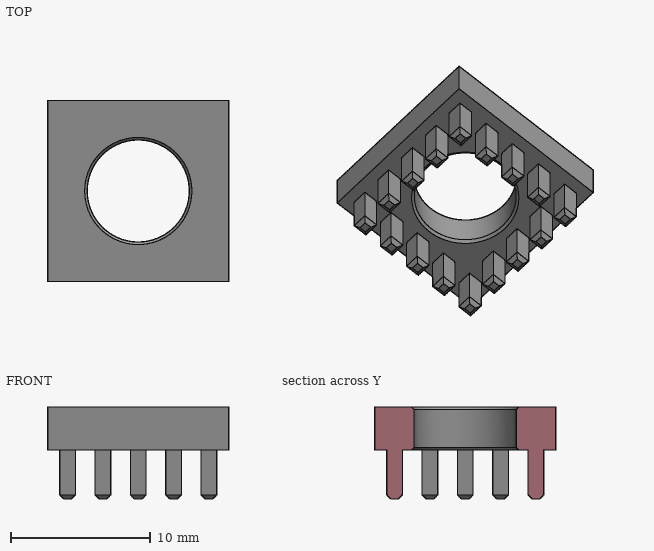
import cadquery as cq

body_side = 13
total_height = 6.6
body_height = 3.1

hole_diameter = 7.3
hole_chamfer = 0.2

pins_per_side = 5
pin_pitch = 2.54
pin_width = 1.15
pin_tip_chamfer = 0.3
pin_length = total_height - body_height


def make_body():
    """Square plate resting on Z = 0, with a hole chamfered at both rims."""
    plate = cq.Workplane("XY").box(body_side, body_side, body_height, centered=(True, True, False))
    bored = plate.faces(">Z").workplane().hole(hole_diameter)
    return bored.faces("|Z").edges("%CIRCLE").chamfer(hole_chamfer)


def ring_positions():
    """Pin centres on the border of a square grid."""
    last = pins_per_side - 1
    border = (0, last)
    return [
        ((column - last / 2) * pin_pitch, (row - last / 2) * pin_pitch)
        for column in range(pins_per_side)
        for row in range(pins_per_side)
        if column in border or row in border
    ]


def make_pins():
    """Square pins hanging below the body, with chamfered tips."""
    pins = cq.Workplane("XY").pushPoints(ring_positions()).rect(pin_width, pin_width).extrude(-pin_length)
    return pins.faces("<Z").edges().chamfer(pin_tip_chamfer)


result = make_body().union(make_pins())